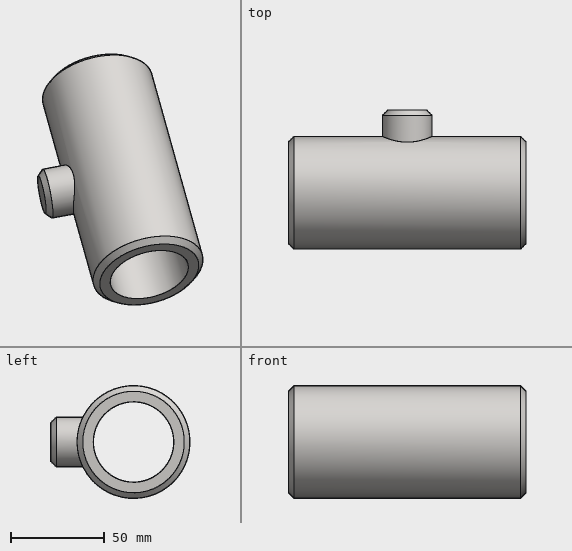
import cadquery as cq

tube_length = 127.0
tube_diameter = 60.3
bore_diameter = 42.8
tube_chamfer = 3.0

branch_diameter = 26.7
branch_reach = 44.3
branch_chamfer = 3.0


def make_tube_body():
    body = cq.Workplane("YZ").circle(tube_diameter / 2).extrude(tube_length / 2, both=True)
    return body.faces("<X or >X").chamfer(tube_chamfer)


def make_branch():
    branch = cq.Workplane("XZ").circle(branch_diameter / 2).extrude(-branch_reach)
    return branch.faces(">Y").chamfer(branch_chamfer)


def make_bore():
    return cq.Workplane("YZ").circle(bore_diameter / 2).extrude(tube_length / 2, both=True)


result = make_tube_body().union(make_branch()).cut(make_bore())